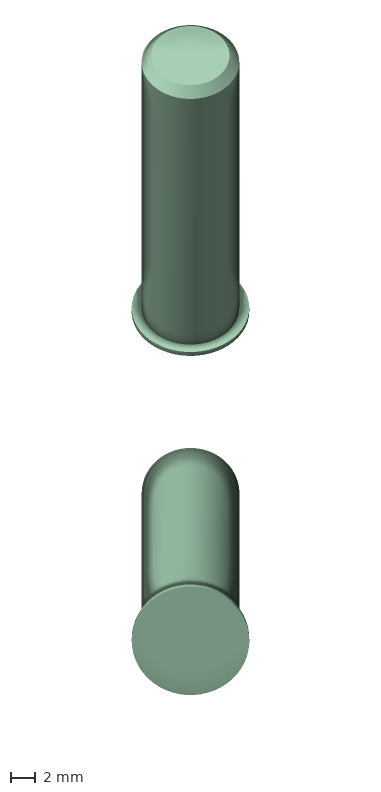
import cadquery as cq

total_height = 31.75
pin_diameter = 7.95
flange_diameter = 9.55
flange_thickness = 0.48
tip_chamfer = 0.8


def make_flange():
    """Thin disc at the foot of the pin, resting on Z = 0."""
    return cq.Workplane("XY").circle(flange_diameter / 2).extrude(flange_thickness)


def make_pin():
    """Full-height cylindrical shank with a chamfered tip."""
    shank = cq.Workplane("XY").circle(pin_diameter / 2).extrude(total_height)
    return shank.faces(">Z").chamfer(tip_chamfer)


result = make_flange().union(make_pin())